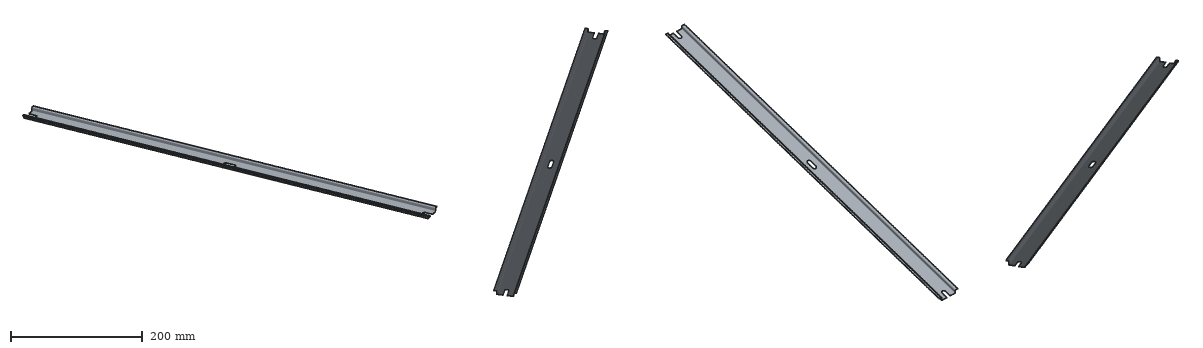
import cadquery as cq

LENGTH = 693.0
WIDTH = 35.0
HEIGHT = 7.5
THICKNESS = 1.05
CHANNEL_WIDTH = 27.0
INNER_RADIUS = 0.8
SLOT_LENGTH = 20.0
SLOT_WIDTH = 6.0
END_SLOT_DEPTH = 15.0

OUTER_RADIUS = INNER_RADIUS + THICKNESS
CUT_DEPTH = 2 * THICKNESS


def bar(y_size, z_size, z_bottom):
    """Full-length rectangular bar centred on X and Y."""
    return (
        cq.Workplane("XY")
        .workplane(offset=z_bottom)
        .box(LENGTH, y_size, z_size, centered=(True, True, False))
    )


def make_rail():
    """Bent sheet profile: a U channel with a flange along each side."""
    inner_width = CHANNEL_WIDTH - 2 * THICKNESS
    z_base = -HEIGHT / 2
    z_flange = HEIGHT / 2 - THICKNESS

    outer = bar(CHANNEL_WIDTH, HEIGHT, z_base).union(bar(WIDTH, THICKNESS, z_flange))
    outer = outer.edges("|X and <Z").fillet(OUTER_RADIUS)
    half_channel = CHANNEL_WIDTH / 2
    for y in (-half_channel, half_channel):
        corner = cq.selectors.NearestToPointSelector((0, y, z_flange))
        outer = outer.edges(corner).fillet(INNER_RADIUS)

    cavity = bar(inner_width, HEIGHT - THICKNESS, z_base + THICKNESS)
    cavity = cavity.edges("|X and <Z").fillet(INNER_RADIUS)
    rail = outer.cut(cavity)
    for y in (-inner_width / 2, inner_width / 2):
        rim = cq.selectors.NearestToPointSelector((0, y, HEIGHT / 2))
        rail = rail.edges(rim).fillet(OUTER_RADIUS)
    return rail


def slot_cutter(x_center, length):
    """Round-ended slot along X through the channel base."""
    return (
        cq.Workplane("XY")
        .workplane(offset=-HEIGHT / 2 - THICKNESS / 2)
        .center(x_center, 0)
        .slot2D(length, SLOT_WIDTH)
        .extrude(CUT_DEPTH)
    )


result = make_rail().cut(slot_cutter(0, SLOT_LENGTH))
for x_end in (-LENGTH / 2, LENGTH / 2):
    result = result.cut(slot_cutter(x_end, 2 * END_SLOT_DEPTH))